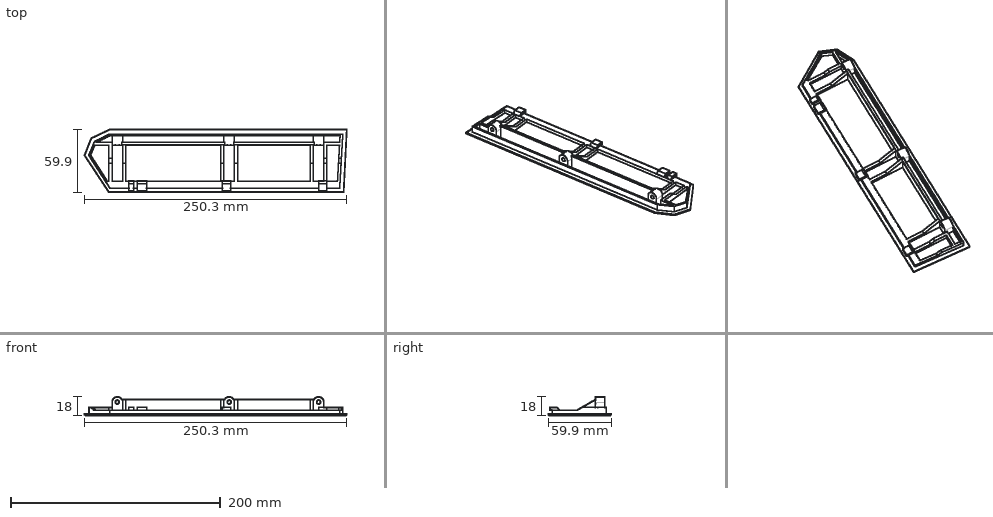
import cadquery as cq
import math

LENGTH = 250.31
WIDTH = 59.88
PLATE_HEIGHT = 2.0
PLATE_CHAMFER = 1.0
TIP_Y = 35.1
RIGHT_EDGE_LEAN = 3.0
PLATE_OUTLINE = [
    (0, TIP_Y),
    (6.4, 51.4),
    (24.3, WIDTH),
    (LENGTH, WIDTH),
    (LENGTH - RIGHT_EDGE_LEAN, 0),
    (23.1, 0),
]

RIM_TOP = 8.0
RIM_FRONT = 3.7
RIM_BACK = 55.4
RIM_RIGHT = 246.4
RIM_OUTLINE = [
    (4.1, TIP_Y),
    (9.6, 48.2),
    (24.0, RIM_BACK),
    (RIM_RIGHT, RIM_BACK),
    (RIM_RIGHT - RIGHT_EDGE_LEAN, RIM_FRONT),
    (24.3, RIM_FRONT),
]
RIM_THICKNESS = 1.5
RIGHT_RIM_THICKNESS = 2.5

LEDGE_TOP = 5.4
LEDGE_BACK = 10.5
HINGE_WALL_TOP = 15.5
HINGE_WALL_FRONT = 44.8
HINGE_WALL_BACK = 47.4
SLOPE_FOOT_Y = 27.6
SLOPE_ANGLE = 30.0

BOSS_XS = [31.3, 138.0, 223.3]
BOSS_RADIUS = 5.0
BOSS_AXIS_Z = 13.0
PIN_DIAMETER = 3.5
RIB_THICKNESS = 3.0

CATCH_SPANS = [(42.3, 47.0), (50.2, 59.2), (131.6, 139.3), (223.3, 231.1)]
CATCH_FRONT = 1.4
CATCH_BACK = 10.8
CATCH_TOP = 8.0


def prism(points, bottom, top):
    return cq.Workplane("XY").workplane(offset=bottom).polyline(points).close().extrude(top - bottom)


def box(x_range, y_range, z_range):
    size = [high - low for low, high in (x_range, y_range, z_range)]
    corner = (x_range[0], y_range[0], z_range[0])
    return cq.Workplane("XY").box(*size, centered=False).translate(corner)


def profile_along_x(points, x_range):
    """Extrude a (Y, Z) profile over a range of X."""
    start, end = x_range
    return cq.Workplane("YZ").workplane(offset=start).polyline(points).close().extrude(end - start)


def make_plate():
    return prism(PLATE_OUTLINE, 0, PLATE_HEIGHT).faces("<Z").chamfer(PLATE_CHAMFER)


def make_rim_cavity():
    """The space inside the rim walls, from the plate up."""
    base = cq.Workplane("XY").workplane(offset=PLATE_HEIGHT)
    inset = base.polyline(RIM_OUTLINE).close().offset2D(-RIM_THICKNESS).extrude(RIM_TOP - PLATE_HEIGHT)
    right_limit = prism(RIM_OUTLINE, PLATE_HEIGHT, RIM_TOP).translate((-RIGHT_RIM_THICKNESS, 0, 0))
    return inset.intersect(right_limit)


def rib_spans():
    """X ranges of the ribs on the left and right of each boss."""
    spans = []
    for x in BOSS_XS:
        spans.append((x - BOSS_RADIUS - RIB_THICKNESS, x - BOSS_RADIUS))
        spans.append((x + BOSS_RADIUS, x + BOSS_RADIUS + RIB_THICKNESS))
    return spans


def make_low_frame():
    """Rim, front ledge, ribs and hinge wall, all at rim height."""
    heights = (PLATE_HEIGHT, RIM_TOP)
    full_length = (0, LENGTH)
    partitions = box(full_length, (0, LEDGE_BACK), heights)
    partitions = partitions.union(box(full_length, (HINGE_WALL_FRONT, HINGE_WALL_BACK), heights))
    for span in rib_spans():
        partitions = partitions.union(box(span, (0, HINGE_WALL_BACK), heights))
    openings = make_rim_cavity().cut(partitions)
    return prism(RIM_OUTLINE, PLATE_HEIGHT, RIM_TOP).cut(openings)


def make_tall_walls():
    """Hinge wall between the outer bosses and the ribs that rise to it."""
    heights = (PLATE_HEIGHT, HINGE_WALL_TOP)
    walls = box((BOSS_XS[0], BOSS_XS[-1]), (HINGE_WALL_FRONT, HINGE_WALL_BACK), heights)
    for span in rib_spans()[1:-1]:
        walls = walls.union(box(span, (LEDGE_BACK, HINGE_WALL_BACK), heights))
    return walls


def make_slope_cutter():
    """Space above the ledge and above the slope rising to the hinge wall."""
    rise = HINGE_WALL_TOP - LEDGE_TOP
    slope_head_y = SLOPE_FOOT_Y + rise / math.tan(math.radians(SLOPE_ANGLE))
    profile = [
        (0, LEDGE_TOP),
        (SLOPE_FOOT_Y, LEDGE_TOP),
        (slope_head_y, HINGE_WALL_TOP),
        (0, HINGE_WALL_TOP),
    ]
    return profile_along_x(profile, (0, LENGTH))


def make_boss(x):
    """Round-topped boss from the hinge wall face to the rim, standing on the plate."""
    length = RIM_BACK - RIM_THICKNESS - HINGE_WALL_FRONT
    back_plane = cq.Workplane("XZ", origin=(x, RIM_BACK - RIM_THICKNESS, 0))
    barrel = back_plane.center(0, BOSS_AXIS_Z).circle(BOSS_RADIUS).extrude(length)
    pedestal = box(
        (x - BOSS_RADIUS, x + BOSS_RADIUS),
        (HINGE_WALL_FRONT, HINGE_WALL_FRONT + length),
        (PLATE_HEIGHT, BOSS_AXIS_Z),
    )
    return barrel.union(pedestal)


def make_pin_hole(x):
    axis_plane = cq.Workplane("XZ", origin=(x, WIDTH, BOSS_AXIS_Z))
    return axis_plane.circle(PIN_DIAMETER / 2).extrude(WIDTH)


def make_catch(x_range):
    """Block overhanging both sides of the ledge, with a 45 degree back."""
    profile = [
        (CATCH_FRONT, LEDGE_TOP),
        (CATCH_BACK, LEDGE_TOP),
        (CATCH_BACK - (CATCH_TOP - LEDGE_TOP), CATCH_TOP),
        (CATCH_FRONT, CATCH_TOP),
    ]
    return profile_along_x(profile, x_range)


frame = make_low_frame().union(make_tall_walls()).cut(make_slope_cutter())
result = make_plate().union(frame)
for boss_x in BOSS_XS:
    result = result.union(make_boss(boss_x))
for boss_x in BOSS_XS:
    result = result.cut(make_pin_hole(boss_x))
for catch_span in CATCH_SPANS:
    result = result.union(make_catch(catch_span))